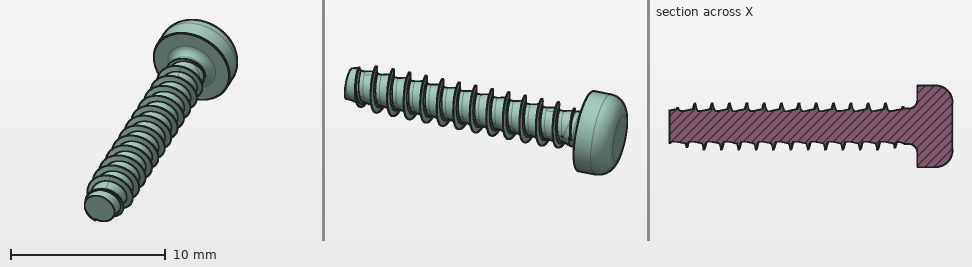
import cadquery as cq
import math


head_diameter = 5.3
head_height = 2.3
head_round = 1.13
rim_chamfer = 0.05

shank_length = 16.0
core_radius = 1.0
neck_radius = 1.16
neck_fillet = 0.5
neck_length = 0.76
neck_taper_length = 0.5

pitch = 1.12
crest_radius = 1.5
crest_half_width = 0.02
rib_root_half_width = 0.11
collar_radius = 1.125
collar_head_side = 0.19
collar_tip_side = 0.69
thread_start = 0.61
full_turns = 11
fade_turns = 1.25
run_out_turns = 0.2
start_crest_radius = 1.22
end_crest_radius = 1.14

thread_floor = 0.8
slope_overrun = 0.03
samples_per_turn = 16


def make_head_and_core():
    """Turned body: rounded head, filleted neck and plain cylindrical core."""
    head_radius = head_diameter / 2
    arc_shift = head_round * math.sqrt(0.5)
    round_center = (head_radius - head_round, head_round - head_height)
    round_middle = (round_center[0] + arc_shift, round_center[1] - arc_shift)
    fillet_center = (neck_radius + neck_fillet, neck_fillet)
    fillet_shift = neck_fillet * math.sqrt(0.5)
    fillet_middle = (fillet_center[0] - fillet_shift, fillet_center[1] - fillet_shift)
    return (
        cq.Workplane("XZ")
        .moveTo(0, -head_height)
        .lineTo(round_center[0], -head_height)
        .threePointArc(round_middle, (head_radius, round_center[1]))
        .lineTo(head_radius, -rim_chamfer)
        .lineTo(head_radius - rim_chamfer, 0)
        .lineTo(fillet_center[0], 0)
        .threePointArc(fillet_middle, (neck_radius, fillet_center[1]))
        .lineTo(neck_radius, neck_length)
        .lineTo(core_radius, neck_length + neck_taper_length)
        .lineTo(core_radius, shank_length)
        .lineTo(0, shank_length)
        .close()
        .revolve(360, (0, 0, 0), (0, 1, 0))
    )


def spiral_edge(first_corner, last_corner, first_turn, last_turn):
    """Right-handed spiral running evenly from one (axial offset, radius) corner to another."""
    first_offset, first_radius = first_corner
    last_offset, last_radius = last_corner
    steps = round((last_turn - first_turn) * samples_per_turn)
    points = []
    for step in range(steps + 1):
        share = step / steps
        turn = first_turn + share * (last_turn - first_turn)
        radius = first_radius + share * (last_radius - first_radius)
        angle = 2 * math.pi * turn
        offset = first_offset + share * (last_offset - first_offset)
        height = thread_start + turn * pitch + offset
        points.append(cq.Vector(radius * math.cos(angle), radius * math.sin(angle), height))
    return cq.Edge.makeSpline(points)


def thread_profile(local_crest_radius):
    """Axial offset and radius of each corner of the thread section, from tip side to head side.

    The rib gets narrower in step with its height.
    """
    height_share = (local_crest_radius - collar_radius) / (crest_radius - collar_radius)
    root_half_width = crest_half_width + height_share * (rib_root_half_width - crest_half_width)
    slope_depth = collar_radius - core_radius
    overrun_share = slope_overrun / slope_depth
    foot_radius = core_radius - slope_overrun
    tip_foot = collar_tip_side + overrun_share * (collar_tip_side - rib_root_half_width)
    head_foot = collar_head_side + overrun_share * (collar_head_side - rib_root_half_width)
    return [
        (tip_foot, thread_floor),
        (tip_foot, foot_radius),
        (root_half_width, collar_radius),
        (crest_half_width, local_crest_radius),
        (-crest_half_width, local_crest_radius),
        (-root_half_width, collar_radius),
        (-head_foot, foot_radius),
        (-head_foot, thread_floor),
    ]


def make_thread():
    """Thread that rises out of the neck, runs at full height and sinks again at the tip."""
    full_start = fade_turns
    full_end = full_start + full_turns
    fade_end = full_end + fade_turns
    stretches = [
        (0, full_start, start_crest_radius, crest_radius),
        (full_start, full_end, crest_radius, crest_radius),
        (full_end, fade_end, crest_radius, end_crest_radius),
        (fade_end, fade_end + run_out_turns, end_crest_radius, end_crest_radius),
    ]
    faces = []
    start_corners = []
    for first_turn, last_turn, first_crest, last_crest in stretches:
        corners = zip(thread_profile(first_crest), thread_profile(last_crest))
        edges = [spiral_edge(first, last, first_turn, last_turn) for first, last in corners]
        faces += [cq.Face.makeRuledSurface(edges[i - 1], edges[i]) for i in range(len(edges))]
        start_corners = start_corners or [edge.startPoint() for edge in edges]
    end_corners = [edge.endPoint() for edge in edges]
    for corners in (start_corners, end_corners):
        faces.append(cq.Face.makeFromWires(cq.Wire.makePolygon(corners, close=True)))
    return cq.Solid.makeSolid(cq.Shell.makeShell(faces))


def trim_at_tip(screw):
    """Cut the thread run-out flush with the flat tip."""
    keep = cq.Workplane("XY", origin=(0, 0, -head_height)).circle(head_diameter)
    return screw.intersect(keep.extrude(head_height + shank_length))


screw = make_head_and_core().union(cq.Workplane(make_thread()))
screw = trim_at_tip(screw)
result = screw.rotate((0, 0, 0), (1, 0, 0), 90)